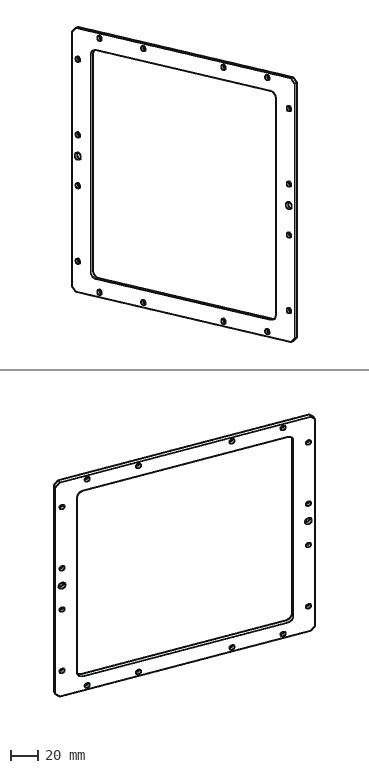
import cadquery as cq

width = 206.4
height = 203.3
thickness = 3.0
corner_chamfer = 3.5

window_width = 171.7
window_height = 176.2
window_corner_radius = 5.0

screw_diameter = 4.1
dowel_diameter = 5.5
hole_line = 97.8
outer_offset = 77.8
edge_inner_offset = 37.1
side_inner_offset = 19.6
dowel_height = 3.0


def slab(slab_width, slab_height):
    """Slab in the XZ plane, as thick as the plate and centred on the origin."""
    return cq.Workplane("XY").box(slab_width, thickness, slab_height)


def drills(points, diameter):
    """Cylinders along Y, through the plate, at the given (x, z) points."""
    return (
        cq.Workplane("XZ")
        .pushPoints(points)
        .circle(diameter / 2)
        .extrude(thickness, both=True)
    )


screw_points = []
for side in (-1, 1):
    for direction in (-1, 1):
        for offset in (edge_inner_offset, outer_offset):
            screw_points.append((direction * offset, side * hole_line))
        for offset in (side_inner_offset, outer_offset):
            screw_points.append((side * hole_line, direction * offset))

dowel_points = [(-hole_line, dowel_height), (hole_line, dowel_height)]

plate = slab(width, height).edges("|Y").chamfer(corner_chamfer)
window = slab(window_width, window_height).edges("|Y").fillet(window_corner_radius)
result = (
    plate.cut(window)
    .cut(drills(screw_points, screw_diameter))
    .cut(drills(dowel_points, dowel_diameter))
)